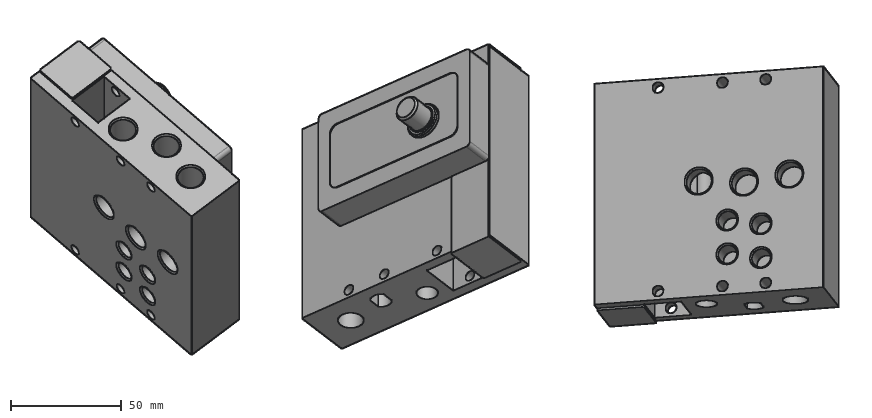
import cadquery as cq


body_length = 106.7
body_depth = 29.9
body_height = 105.0
body_edge_chamfer = 0.3

block_start_x = 0.1
block_end_x = 21.8
block_front_y = 5.6
block_back_y = 30.1
block_height = 107
block_edge_radius = 1.0
center_z = block_height / 2
body_bottom_z = center_z - body_height / 2
body_top_z = center_z + body_height / 2

window_start_x = 22.1
window_end_x = 39.3
window_front_y = 5.2
window_back_y = 24.9

screw_diameter = 5.0
screw_row_offset = 48.4
screw_columns_x = (29.7, 59.7, 79.8)

large_port_diameter = 11.7
small_port_diameter = 8.7
port_chamfer = 0.7
large_port_depth = 7.7
small_port_depth = 10.7
large_ports = ((48.7, 56.0), (69.8, 53.8), (90.8, 56.0))
small_ports = ((62.0, 36.4), (62.0, 20.3), (77.6, 33.4), (77.6, 17.3))

top_port_depth = 17.1
drill_diameter = 9.7
neck_width = 7.7
left_drill = (49.6, 11.0)
middle_drill = (69.8, 19.0)
right_drill = (90.0, 15.1)

cover_length = 86.0
cover_bottom_z = 42.6
cover_top_z = 96.6
cover_back_y = 44.3
cover_edge_radius = 2.0

plate_start_x = 6.8
plate_end_x = 79.3
plate_bottom_z = 51.9
plate_top_z = 87.1
plate_back_y = 44.7
plate_corner_radius = 4.3

plug_x = 25.6
plug_z = 66.6
flange_diameter = 16.7
flange_back_y = 46.8
flange_chamfer = 0.6
collar_diameter = 13.0
collar_back_y = 47.3
shaft_diameter = 12.1
shaft_back_y = 58.4
shaft_chamfer = 1.0


def box(start, end):
    """Box between two opposite corners."""
    size = [high - low for low, high in zip(start, end)]
    return cq.Workplane("XY").box(*size, centered=False).translate(start)


def cylinder_y(x, z, diameter, start_y, end_y):
    """Cylinder along +Y."""
    solid = cq.Solid.makeCylinder(
        diameter / 2, end_y - start_y, cq.Vector(x, start_y, z), cq.Vector(0, 1, 0)
    )
    return cq.Workplane(solid)


def cylinder_z(x, y, diameter, start_z, end_z):
    """Cylinder along +Z."""
    solid = cq.Solid.makeCylinder(diameter / 2, end_z - start_z, cq.Vector(x, y, start_z))
    return cq.Workplane(solid)


def port_cutter(origin, direction, diameter, depth):
    """Flat-bottomed bore with a conical mouth, cutting from origin along direction."""
    point = cq.Vector(*origin)
    axis = cq.Vector(*direction)
    bore = cq.Solid.makeCylinder(diameter / 2, depth, point, axis)
    mouth = cq.Solid.makeCone(
        diameter / 2 + port_chamfer, diameter / 2, port_chamfer, point, axis
    )
    return cq.Workplane(bore).union(cq.Workplane(mouth))


def front_port(position, diameter, depth):
    x, z = position
    return port_cutter((x, 0, z), (0, 1, 0), diameter, depth)


def top_port(position, depth):
    x, y = position
    return port_cutter((x, y, body_top_z), (0, 0, -1), large_port_diameter, depth)


body = box((0, 0, body_bottom_z), (body_length, body_depth, body_top_z))
body = body.edges("|Z").chamfer(body_edge_chamfer)
window = box(
    (window_start_x, window_front_y, 0), (window_end_x, window_back_y, block_height)
)
block = box((block_start_x, block_front_y, 0), (block_end_x, block_back_y, block_height))
block = block.edges("|Z").fillet(block_edge_radius)
result = body.cut(window).union(block)

for screw_x in screw_columns_x:
    for screw_z in (center_z - screw_row_offset, center_z + screw_row_offset):
        result = result.cut(cylinder_y(screw_x, screw_z, screw_diameter, 0, body_depth))

for position in large_ports:
    result = result.cut(front_port(position, large_port_diameter, large_port_depth))
for position in small_ports:
    result = result.cut(front_port(position, small_port_diameter, small_port_depth))

left_passage = cylinder_z(*left_drill, drill_diameter, 0, body_top_z)
middle_passage = cylinder_z(*middle_drill, drill_diameter, 0, body_top_z).intersect(
    box(
        (middle_drill[0] - neck_width / 2, 0, 0),
        (middle_drill[0] + neck_width / 2, body_depth, body_top_z),
    )
)
for position, passage in ((left_drill, left_passage), (middle_drill, middle_passage)):
    result = result.cut(top_port(position, top_port_depth)).cut(passage)
result = result.cut(top_port(right_drill, body_height))

cover = box((0, body_depth, cover_bottom_z), (cover_length, cover_back_y, cover_top_z))
cover = cover.edges("|Y").fillet(cover_edge_radius)
plate = box(
    (plate_start_x, cover_back_y, plate_bottom_z), (plate_end_x, plate_back_y, plate_top_z)
)
plate = plate.edges("|Y").fillet(plate_corner_radius)
result = result.union(cover).union(plate)

flange = cylinder_y(plug_x, plug_z, flange_diameter, plate_back_y, flange_back_y)
flange = flange.faces(">Y").chamfer(flange_chamfer)
collar = cylinder_y(plug_x, plug_z, collar_diameter, flange_back_y, collar_back_y)
shaft = cylinder_y(plug_x, plug_z, shaft_diameter, collar_back_y, shaft_back_y)
shaft = shaft.faces(">Y").chamfer(shaft_chamfer)
result = result.union(flange).union(collar).union(shaft)